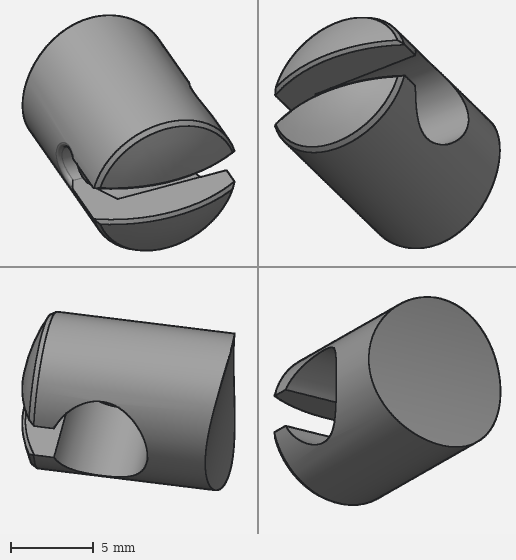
import cadquery as cq
import math

body_diameter = 9.53
body_radius = body_diameter / 2
saddle_depth = 0.65
saddle_radius = (body_radius**2 + saddle_depth**2) / (2 * saddle_depth)
dome_radius = body_diameter
dome_apex_x = 12.69
dome_chamfer = 0.23

hole_x = 7.19
slot_width = 2.34
slot_radius = slot_width / 2
hole_lip_fillet = 0.26

bore_radius = 3.0
bore_floor_y = -2.52
drill_half_angle = math.radians(59)
drill_tip_y = bore_floor_y - bore_radius / math.tan(drill_half_angle)

margin = 1.26


def make_body():
    """Cylinder trimmed by the domed end and the saddle."""
    dome_centre_x = dome_apex_x - dome_radius
    shoulder_x = dome_centre_x + math.sqrt(dome_radius**2 - body_radius**2)
    mid_angle = math.asin(body_radius / dome_radius) / 2
    dome_middle = (
        dome_centre_x + dome_radius * math.cos(mid_angle),
        dome_radius * math.sin(mid_angle),
    )
    domed_cylinder = (
        cq.Workplane("XY")
        .lineTo(0, body_radius)
        .lineTo(shoulder_x, body_radius)
        .threePointArc(dome_middle, (dome_apex_x, 0))
        .close()
        .revolve(360, (0, 0, 0), (1, 0, 0))
    )
    saddle = (
        cq.Workplane("XZ")
        .center(saddle_depth - saddle_radius, 0)
        .circle(saddle_radius)
        .extrude(body_radius + margin, both=True)
    )
    return domed_cylinder.cut(saddle)


def cut_cross_hole(body):
    """Through hole along Y with a rounded mouth on the -Y side."""
    hole = (
        cq.Workplane("XZ")
        .center(hole_x, 0)
        .circle(slot_radius)
        .extrude(body_radius + margin, both=True)
    )
    mouth = cq.selectors.BoxSelector(
        (hole_x - bore_radius, -body_radius - margin, -bore_radius),
        (hole_x + bore_radius, -body_radius / 2, bore_radius),
    )
    return body.cut(hole).edges(mouth).fillet(hole_lip_fillet)


def make_bore():
    """Bore revolved about the cross hole axis."""
    return (
        cq.Workplane("XY")
        .moveTo(hole_x, drill_tip_y)
        .lineTo(hole_x + bore_radius, bore_floor_y)
        .lineTo(hole_x + bore_radius, body_radius + margin)
        .lineTo(hole_x, body_radius + margin)
        .close()
        .revolve(360, (hole_x, 0, 0), (hole_x, 1, 0))
    )


def make_slot():
    """Straight slot from the cross hole axis out through the dome."""
    length = dome_apex_x + margin - hole_x
    return (
        cq.Workplane("XY")
        .box(length, body_diameter + 2 * margin, slot_width)
        .translate((hole_x + length / 2, 0, 0))
    )


body = cut_cross_hole(make_body())
slotted = body.cut(make_slot())
bevelled = slotted.faces("%SPHERE").edges().chamfer(dome_chamfer)
result = bevelled.cut(make_bore())